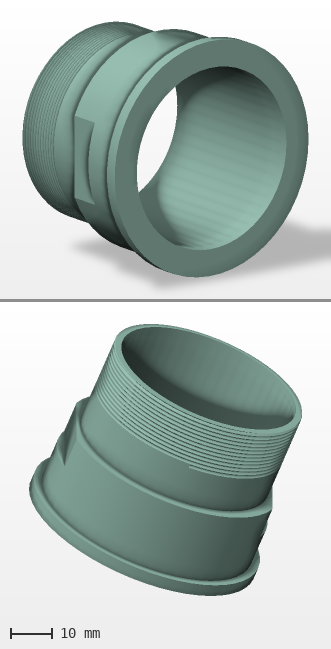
import cadquery as cq

total_length = 43.0
flange_radius = 29.0
flange_thickness = 3.0
collar_radius = 27.0
collar_start = 22.05
neck_radius = 24.2
bore_radius = 22.4

flat_half_spacing = 25.05
flat_length = 8.0

thread_pitch = 1.0
thread_depth = 0.65
crest_width = 0.2
thread_turns = 13.5
groove_overlap = 0.05


def cylinder(radius, start, end):
    return cq.Workplane("YZ", origin=(start, 0, 0)).circle(radius).extrude(end - start)


def cut_wrench_flats(body):
    flat_width = 2 * collar_radius
    flat_depth = collar_radius - flat_half_spacing
    for side in (-1, 1):
        cutter = cq.Workplane("XY").box(flat_length, flat_depth, flat_width).translate(
            (collar_start + flat_length / 2, side * (flat_half_spacing + flat_depth / 2), 0)
        )
        body = body.cut(cutter)
    return body


def thread_groove():
    helix = cq.Wire.makeHelix(thread_pitch, thread_pitch * thread_turns, neck_radius)
    half_width = (thread_pitch - crest_width) / 2
    outer_half_width = half_width * (1 + groove_overlap / thread_depth)
    groove = (
        cq.Workplane("XZ")
        .moveTo(neck_radius - thread_depth, 0)
        .lineTo(neck_radius + groove_overlap, outer_half_width)
        .lineTo(neck_radius + groove_overlap, -outer_half_width)
        .close()
        .sweep(cq.Workplane(obj=helix), isFrenet=True)
    )
    groove = groove.rotate((0, 0, 0), (0, 1, 0), 90)
    groove = groove.rotate((0, 0, 0), (1, 0, 0), 180)
    return groove.translate((-thread_pitch, 0, 0))


flange_start = total_length - flange_thickness
neck = cylinder(neck_radius, 0, collar_start).cut(thread_groove())
collar = cut_wrench_flats(cylinder(collar_radius, collar_start, flange_start))
flange = cylinder(flange_radius, flange_start, total_length)
bore = cylinder(bore_radius, 0, total_length)

result = neck.union(collar).union(flange).cut(bore)